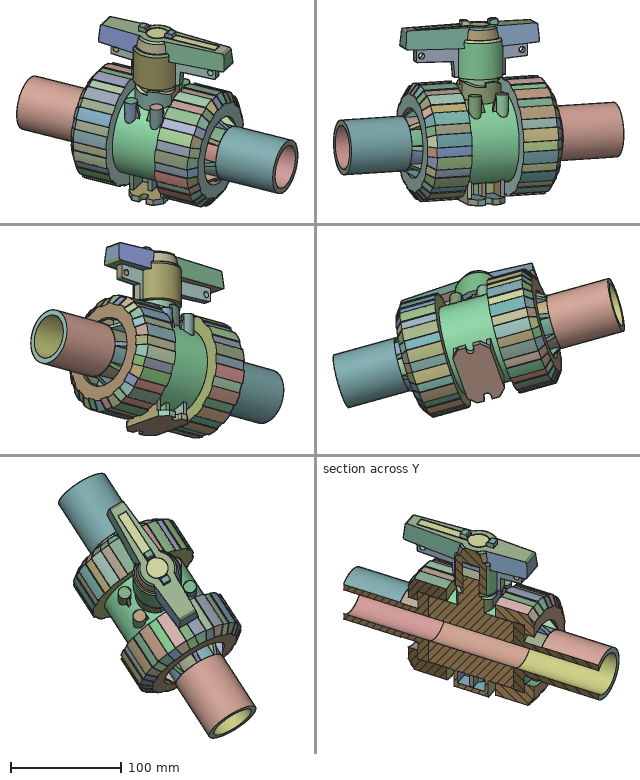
import cadquery as cq
import math


overall_length = 262.0
pipe_radius = 25.0
bore_radius = 20.0
relief_radius = 24.6
relief_start = 72.7
flange_face = 54.7
rib_count = 8
rib_width = 4.0
rib_rise_end = 61.0

nut_inner_x = 24.8
nut_outer_x = 64.7
nut_radius = 54.0
nut_face_radius = 45.5
nut_chamfer_length = 6.5
nut_opening_radius = 32.0
groove_count = 16
groove_width = 9.0
groove_depth = 1.2

body_radius = 41.0
body_half_length = 44.0
post_radius = 5.85
post_x = 13.0
post_y = 26.8
post_top = 45.3
web_thickness = 3.0
web_top = 43.0
web_foot = 29.6
web_reach = 3.4
side_web_offset = 2.4

neck_radius = 20.3
neck_half_width = 18.7
cam_high = 55.0
cam_low = 51.0
cam_ramp_start = 29.0
cam_ramp_end = 69.0
stem_radius = 17.2
stem_top = 73.3

foot_bottom = -56.57
foot_thickness = 5.57
foot_top = foot_bottom + foot_thickness
foot_half_x = 17.8
foot_half_y = 29.0
foot_chamfer = 7.2
foot_slot_width = 7.2
foot_slot_depth = 7.2
foot_wall = 4.0
foot_cheek_half_y = 20.3
foot_rib_half_y = 14.4
foot_boss_radius = 6.1

handle_bottom = 58.55
hub_radius = 22.0
hub_shoulder_z = 94.4
hub_shoulder_radius = 20.7
hub_shoulder_drop = 2.4
hub_cone_base_radius = 19.3
hub_cone_top_radius = 17.5
hub_top_radius = 15.8
hub_top_round = 1.9
hub_slot_width = 10.2

arm_top = 105.4
arm_root_bottom = 86.2
arm_tip_bottom = 87.9
arm_left = -55.1
arm_right = 73.1
arm_root_half_width = 13.8
arm_left_half_width = 10.7
arm_right_half_width = 9.3
arm_side_draft = 2.2
arm_end_draft = 1.4
arm_end_round = 2.0

rib_plate_width = 7.2
rib_plate_left = -45.7
rib_plate_right = 61.3
rib_plate_tip_z = 74.6
rib_plate_root_z = 73.4
rib_leg_left = -24.3
rib_leg_right_top = 25.6
rib_leg_right_foot = 24.2
rib_plate_corner = 1.5
lock_hole_radius = 2.8
lock_hole_inset = 5.2
lock_hole_z = 80.45

label_end = 61.3
label_half_width = 4.3
label_top = 106.0
cap_radius = 9.8
tab_inner_radius = 10.3
tab_outer = 17.2
tab_width = 7.6
tab_top = 110.3
tab_chamfer = 1.2


def cylinder_x(radius, x_start, x_end):
    return cq.Workplane("YZ").workplane(offset=x_start).circle(radius).extrude(x_end - x_start)


def cylinder_z(radius, z_start, z_end):
    return cq.Workplane("XY").workplane(offset=z_start).circle(radius).extrude(z_end - z_start)


def block(x_range, y_range, z_range):
    spans = [high - low for low, high in (x_range, y_range, z_range)]
    return cq.Workplane("XY").box(*spans, centered=False).translate((x_range[0], y_range[0], z_range[0]))


def revolve_x(profile):
    """Turn a closed (x, radius) outline about the flow axis."""
    return cq.Workplane("XY").polyline(profile).close().revolve(360, (0, 0, 0), (1, 0, 0))


def revolve_z(profile):
    """Turn a closed (radius, z) outline about the stem axis."""
    return cq.Workplane("XZ").polyline(profile).close().revolve(360, (0, 0, 0), (0, 1, 0))


def plate_xz(outline, thickness):
    """Plate with an (x, z) outline, centred on Y = 0."""
    return cq.Workplane("XZ").polyline(outline).close().extrude(thickness / 2, both=True)


def make_cam_cut():
    """Cutter for the ramp and low flat of the cam in the +X, -Y quarter of the neck."""
    ramp_start_x = neck_radius * math.sin(math.radians(cam_ramp_start))
    ramp_end_x = neck_radius * math.sin(math.radians(cam_ramp_end))
    outline = [
        (ramp_start_x, cam_high),
        (ramp_end_x, cam_low),
        (neck_radius, cam_low),
        (neck_radius, cam_high),
    ]
    return cq.Workplane("XZ").polyline(outline).close().extrude(neck_radius)


def make_neck():
    neck = cylinder_z(neck_radius, 0, cam_high)
    cam_cut = make_cam_cut()
    for quadrant in range(4):
        neck = neck.cut(cam_cut.rotate((0, 0, 0), (0, 0, 1), 90 * quadrant))
    flats = block((-neck_half_width, neck_half_width), (-neck_radius, neck_radius), (0, cam_high))
    return neck.intersect(flats).union(cylinder_z(stem_radius, 0, stem_top))


def make_post():
    """Post in the +X, +Y quadrant with one web toward X = 0 and one toward the stem."""
    post = cylinder_z(post_radius, 0, post_top).translate((post_x, post_y, 0))
    web_outline = [
        (0, web_top),
        (-post_radius, web_top),
        (-post_radius - web_reach, web_foot),
        (0, web_foot),
    ]
    web = plate_xz(web_outline, web_thickness)
    inner_web = web.translate((post_x, post_y, 0))
    stem_web = web.rotate((0, 0, 0), (0, 0, 1), 90).translate((post_x + side_web_offset, post_y, 0))
    return post.union(inner_web).union(stem_web)


def make_foot():
    plate = block((-foot_half_x, foot_half_x), (-foot_half_y, foot_half_y), (foot_bottom, foot_top))
    plate = plate.edges("|Z").chamfer(foot_chamfer)
    for side in (-1, 1):
        slot = (
            cq.Workplane("XY")
            .workplane(offset=foot_bottom)
            .center(0, side * foot_half_y)
            .slot2D(2 * foot_slot_depth, foot_slot_width, 90)
            .extrude(foot_thickness)
        )
        plate = plate.cut(slot)
        cheek_edges = sorted((side * foot_half_x, side * (foot_half_x - foot_wall)))
        cheek = block(cheek_edges, (-foot_cheek_half_y, foot_cheek_half_y), (foot_top, 0))
        plate = plate.union(cheek)
    half_wall = foot_wall / 2
    cross_wall = block((-foot_half_x, foot_half_x), (-half_wall, half_wall), (foot_top, 0))
    long_rib = block((-half_wall, half_wall), (-foot_rib_half_y, foot_rib_half_y), (foot_top, 0))
    boss = cylinder_z(foot_boss_radius, foot_top, 0)
    return plate.union(cross_wall).union(long_rib).union(boss)


def make_valve_body():
    body = cylinder_x(body_radius, -body_half_length, body_half_length)
    body = body.union(make_neck()).union(make_foot())
    post = make_post()
    for mirrored in (post, post.mirror("YZ"), post.mirror("XZ"), post.mirror("YZ").mirror("XZ")):
        body = body.union(mirrored)
    return body.cut(cylinder_x(bore_radius, -body_half_length, body_half_length))


def nut_outside(inset):
    """Solid outside form of the +X nut, with its outer surface moved in by the inset."""
    return revolve_x([
        (nut_inner_x, 0),
        (nut_inner_x, nut_radius - inset),
        (nut_outer_x - nut_chamfer_length, nut_radius - inset),
        (nut_outer_x, nut_face_radius - inset),
        (nut_outer_x, 0),
    ])


def make_nut():
    teeth = nut_outside(0)
    half_groove = groove_width / 2
    groove = block((nut_inner_x, nut_outer_x), (-half_groove, half_groove), (0, nut_radius))
    for index in range(groove_count):
        teeth = teeth.cut(groove.rotate((0, 0, 0), (1, 0, 0), index * 360 / groove_count))
    nut = nut_outside(groove_depth).union(teeth)
    nut = nut.cut(cylinder_x(body_radius, nut_inner_x, flange_face))
    return nut.cut(cylinder_x(nut_opening_radius, flange_face, nut_outer_x))


def make_pipe_end():
    pipe_face = overall_length / 2
    pipe = cylinder_x(pipe_radius, relief_start, pipe_face)
    pipe = pipe.union(cylinder_x(relief_radius, flange_face, relief_start))
    pipe = pipe.union(cylinder_x(body_radius, body_half_length, flange_face))
    rib = plate_xz(
        [
            (flange_face, 0),
            (flange_face, nut_opening_radius),
            (rib_rise_end, nut_opening_radius),
            (relief_start, pipe_radius),
            (relief_start, 0),
        ],
        rib_width,
    )
    ribs = cq.Workplane("XY")
    for index in range(rib_count):
        ribs = ribs.union(rib.rotate((0, 0, 0), (1, 0, 0), index * 360 / rib_count))
    ribs = ribs.intersect(cylinder_x(nut_opening_radius, flange_face, relief_start))
    return pipe.union(ribs).cut(cylinder_x(bore_radius, body_half_length, pipe_face))


def arm_plan(side_inset):
    """Plan outline of both arms, widest at the hub."""
    upper_side = [
        (arm_left, arm_left_half_width - side_inset),
        (0, arm_root_half_width - side_inset),
        (arm_right, arm_right_half_width - side_inset),
    ]
    lower_side = [(x, -y) for x, y in reversed(upper_side)]
    return upper_side + lower_side


def make_arms():
    """Side profile with rounded, drafted ends, trimmed to a plan that narrows toward the top."""
    profile = [
        (arm_left, arm_tip_bottom),
        (0, arm_root_bottom),
        (arm_right, arm_tip_bottom),
        (arm_right - arm_end_draft, arm_top),
        (arm_left + arm_end_draft, arm_top),
    ]
    arms = plate_xz(profile, 2 * hub_radius)
    arms = arms.faces("<X or >X").edges("|Y").fillet(arm_end_round)
    tapered_plan = (
        cq.Workplane("XY")
        .workplane(offset=arm_root_bottom)
        .polyline(arm_plan(0))
        .close()
        .workplane(offset=arm_top - arm_root_bottom)
        .polyline(arm_plan(arm_side_draft))
        .close()
        .loft(ruled=True)
    )
    return arms.intersect(tapered_plan)


def make_hub():
    hub = revolve_z([
        (0, handle_bottom),
        (hub_radius, handle_bottom),
        (hub_radius, hub_shoulder_z - hub_shoulder_drop),
        (hub_shoulder_radius, hub_shoulder_z),
        (hub_cone_base_radius, hub_shoulder_z),
        (hub_cone_top_radius, arm_top - hub_top_round),
        (hub_top_radius, arm_top),
        (0, arm_top),
    ])
    hub = hub.cut(cylinder_z(stem_radius, handle_bottom, arm_tip_bottom))
    half_slot = hub_slot_width / 2
    slot = block((-hub_radius, hub_radius), (-half_slot, half_slot), (handle_bottom, arm_tip_bottom))
    return hub.cut(slot)


def make_rib_plate():
    """Plate under both arms that runs through the hub slots and carries the padlock holes."""
    plate = plate_xz(
        [
            (rib_plate_left, arm_tip_bottom),
            (rib_plate_left, rib_plate_tip_z),
            (rib_leg_left, rib_plate_root_z),
            (rib_leg_left, handle_bottom),
            (rib_leg_right_foot, handle_bottom),
            (rib_leg_right_top, rib_plate_root_z),
            (rib_plate_right, rib_plate_tip_z),
            (rib_plate_right, arm_tip_bottom),
        ],
        rib_plate_width,
    )
    for tip_x in (rib_plate_left, rib_plate_right):
        corner = cq.selectors.NearestToPointSelector((tip_x, 0, rib_plate_tip_z))
        plate = plate.edges(corner).fillet(rib_plate_corner)
    for hole_x in (rib_plate_left + lock_hole_inset, rib_plate_right - lock_hole_inset):
        hole = cq.Workplane("XZ").center(hole_x, lock_hole_z).circle(lock_hole_radius)
        plate = plate.cut(hole.extrude(rib_plate_width / 2, both=True))
    return plate.cut(cylinder_z(stem_radius, handle_bottom, stem_top))


def make_tab(side):
    """Upright tab beside the centre cap, hollowed to the cap circle and chamfered inside."""
    outline = [
        (0, arm_top),
        (side * tab_outer, arm_top),
        (side * tab_outer, tab_top),
        (side * (tab_inner_radius + tab_chamfer), tab_top),
        (side * tab_inner_radius, tab_top - tab_chamfer),
        (0, tab_top - tab_chamfer),
    ]
    return plate_xz(outline, tab_width).cut(cylinder_z(tab_inner_radius, arm_top, tab_top))


def make_handle():
    handle = make_hub().union(make_arms()).union(make_rib_plate())
    label = block((0, label_end), (-label_half_width, label_half_width), (arm_tip_bottom, label_top))
    handle = handle.union(label)
    handle = handle.union(cylinder_z(cap_radius, arm_tip_bottom, label_top))
    for side in (-1, 1):
        handle = handle.union(make_tab(side))
    return handle


valve_body = make_valve_body()
handle = make_handle()
right_nut = make_nut()
right_pipe = make_pipe_end()
nuts = [right_nut, right_nut.mirror("YZ")]
pipe_ends = [right_pipe, right_pipe.mirror("YZ")]
bodies = [valve_body, handle, *nuts, *pipe_ends]
result = cq.Compound.makeCompound([body.solids().val() for body in bodies])